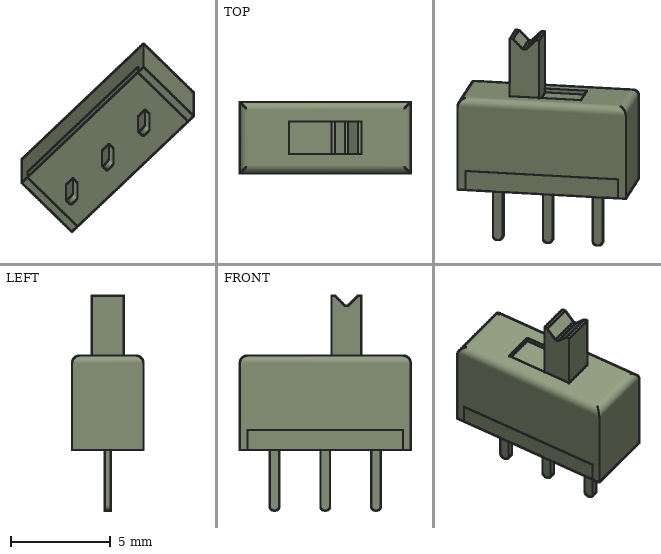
import cadquery as cq

overall_height = 10.8

cover_length = 8.6
cover_width = 3.6
cover_height = 4.75
side_wall = 0.4
top_wall = 0.2
edge_radius = side_wall

slot_length = 3.63
slot_width = 1.63

slider_length = 1.5
slider_rise = 3.0
notch_depth = 0.5
notch_floor = 0.16

foot_height = 1.0
core_length = cover_length - 2 * side_wall
core_width = cover_width - 2 * side_wall
core_height = cover_height - top_wall

pin_count = 3
pin_pitch = 2.55
pin_width = 0.5
pin_thickness = 0.32
pin_length = overall_height - cover_height - slider_rise
pin_tip_radius = 0.23


def box_from(bottom, length, width, height, x=0.0):
    """Box centred on (x, 0), rising from the given bottom level."""
    return (
        cq.Workplane("XY", origin=(x, 0, bottom))
        .box(length, width, height, centered=(True, True, False))
    )


def make_cover():
    """Shell with rounded roof edges, a slot and an opening in each long side."""
    shell = box_from(0, cover_length, cover_width, cover_height)
    shell = shell.faces(">Z").edges().fillet(edge_radius)
    cavity = box_from(0, core_length, core_width, core_height)
    side_openings = box_from(0, core_length, cover_width, foot_height)
    slot = box_from(core_height, slot_length, slot_width, top_wall)
    return shell.cut(cavity).cut(side_openings).cut(slot)


def make_slider():
    """Upright finger with a flat-bottomed V notch across its top."""
    right = slot_length / 2
    left = right - slider_length
    middle = (left + right) / 2
    top = cover_height + slider_rise
    half_floor = notch_floor / 2
    half_mouth = half_floor + notch_depth
    return (
        cq.Workplane("XZ")
        .moveTo(left, core_height)
        .lineTo(right, core_height)
        .lineTo(right, top)
        .lineTo(middle + half_mouth, top)
        .lineTo(middle + half_floor, top - notch_depth)
        .lineTo(middle - half_floor, top - notch_depth)
        .lineTo(middle - half_mouth, top)
        .lineTo(left, top)
        .close()
        .extrude(slot_width / 2, both=True)
    )


def make_pin(x):
    """Flat terminal pin hanging below the base, with a rounded tip."""
    pin = box_from(-pin_length, pin_width, pin_thickness, pin_length, x)
    return pin.faces("<Z").edges("|Y").fillet(pin_tip_radius)


def make_insert():
    """Base, slider and pins as one solid."""
    insert = box_from(0, core_length, core_width, core_height)
    insert = insert.union(box_from(0, core_length, cover_width, foot_height))
    insert = insert.union(make_slider())
    for index in range(pin_count):
        x = (index - (pin_count - 1) / 2) * pin_pitch
        insert = insert.union(make_pin(x))
    return insert


cover = make_cover()
insert = make_insert()

result = cq.Compound.makeCompound([cover.solids().val(), insert.solids().val()])